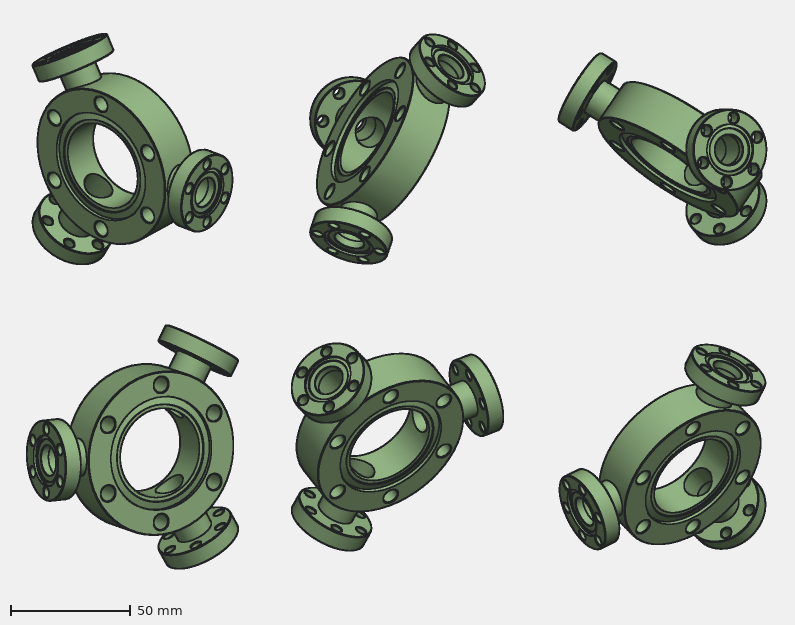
import cadquery as cq
import math

RING_RADIUS = 34.9
RING_WIDTH = 19.0
RING_BORE_RADIUS = 19.0
RING_SEAT_RADIUS = 24.2
RING_KNIFE_RADIUS = 20.9
RING_BOLT_CIRCLE_RADIUS = 29.3
RING_BOLT_DIAMETER = 6.7
RING_FIRST_BOLT_ANGLE = 30

FLANGE_DIAMETER = 34.0
FLANGE_THICKNESS = 7.5
FLANGE_FACE_DISTANCE = 50.0
FLANGE_SEAT_RADIUS = 10.7
FLANGE_KNIFE_RADIUS = 9.2
FLANGE_MOUTH_CHAMFER = 0.2
FLANGE_BOLT_CIRCLE_RADIUS = 13.5
FLANGE_BOLT_DIAMETER = 4.4
FLANGE_FIRST_BOLT_ANGLE = 0

TUBE_OUTER_RADIUS = 8.0
TUBE_BORE_RADIUS = 6.4
TUBE_INNER_END = 32.0
TUBE_OUTER_END = 45.2

PORT_COUNT = 3
BOLT_COUNT = 6
EDGE_CHAMFER = 0.3
KNIFE_CREST_DEPTH = 0.6
KNIFE_BASE_DEPTH = 1.1
KNIFE_BACK_RUN = 0.2
KNIFE_SLOPE = 20


def seal_outline(face, seat_radius, knife_radius, bore_radius):
    """Gasket seat outline as (radius, height) points, from the face in to the bore."""
    crest = face - KNIFE_CREST_DEPTH
    seat_floor = crest - (seat_radius - knife_radius) * math.tan(math.radians(KNIFE_SLOPE))
    base = face - KNIFE_BASE_DEPTH
    return [
        (seat_radius, face),
        (seat_radius, seat_floor),
        (knife_radius, crest),
        (knife_radius - KNIFE_BACK_RUN, base),
        (bore_radius, base),
    ]


def bolt_holes(circle_radius, diameter, first_angle, back, front):
    """Cutters for one bolt circle along Z, flared at both faces to chamfer the hole mouths."""
    radius = diameter / 2
    mouth = radius + EDGE_CHAMFER
    half_section = [
        (0, back),
        (mouth, back),
        (radius, back + EDGE_CHAMFER),
        (radius, front - EDGE_CHAMFER),
        (mouth, front),
        (0, front),
    ]
    hole = cq.Workplane("XZ").polyline(half_section).close().revolve(360, (0, 0), (0, 1)).val()
    return (
        cq.Workplane("XY")
        .polarArray(circle_radius, first_angle, 360, BOLT_COUNT)
        .eachpoint(lambda spot: hole.moved(spot))
    )


def place_at_port(body, angle):
    """Turn a body built along Z so that its axis is the port axis at this angle in the XZ plane."""
    return body.rotate((0, 0, 0), (0, 1, 0), 90 - angle)


def make_tube():
    """Plain tube along Z, seated in the ring at one end and in the flange at the other."""
    length = TUBE_OUTER_END - TUBE_INNER_END
    return (
        cq.Workplane("XY", origin=(0, 0, TUBE_INNER_END))
        .circle(TUBE_OUTER_RADIUS)
        .circle(TUBE_BORE_RADIUS)
        .extrude(length)
    )


def make_flange():
    """Port flange along Z, with a socket for the tube in its back and a gasket seat in its face."""
    face = FLANGE_FACE_DISTANCE
    back = face - FLANGE_THICKNESS
    rim_radius = FLANGE_DIAMETER / 2
    mouth_radius = TUBE_BORE_RADIUS + FLANGE_MOUTH_CHAMFER
    outline = [
        (TUBE_OUTER_RADIUS, TUBE_OUTER_END),
        (TUBE_OUTER_RADIUS, back),
        (rim_radius - EDGE_CHAMFER, back),
        (rim_radius, back + EDGE_CHAMFER),
        (rim_radius, face - EDGE_CHAMFER),
        (rim_radius - EDGE_CHAMFER, face),
        *seal_outline(face, FLANGE_SEAT_RADIUS, FLANGE_KNIFE_RADIUS, mouth_radius),
        (TUBE_BORE_RADIUS, face - KNIFE_BASE_DEPTH - FLANGE_MOUTH_CHAMFER),
        (TUBE_BORE_RADIUS, TUBE_OUTER_END),
    ]
    disc = cq.Workplane("XZ").polyline(outline).close().revolve(360, (0, 0), (0, 1))
    holes = bolt_holes(
        FLANGE_BOLT_CIRCLE_RADIUS, FLANGE_BOLT_DIAMETER, FLANGE_FIRST_BOLT_ANGLE, back, face
    )
    return disc.cut(holes)


def make_port_bore():
    """Cutter for one port in the ring: a passage with a socket for the tube end."""
    passage = cq.Workplane("XY").circle(TUBE_BORE_RADIUS).extrude(RING_RADIUS)
    socket = (
        cq.Workplane("XY", origin=(0, 0, TUBE_INNER_END))
        .circle(TUBE_OUTER_RADIUS)
        .extrude(RING_RADIUS - TUBE_INNER_END)
    )
    return passage.union(socket)


def make_ring(angles):
    """Double-sided ring flange about Y, with a gasket seat in each face and radial port bores."""
    face = RING_WIDTH / 2
    half_outline = [
        (RING_RADIUS, face - EDGE_CHAMFER),
        (RING_RADIUS - EDGE_CHAMFER, face),
        *seal_outline(face, RING_SEAT_RADIUS, RING_KNIFE_RADIUS, RING_BORE_RADIUS),
    ]
    mirrored_outline = [(radius, -height) for radius, height in reversed(half_outline)]
    ring = (
        cq.Workplane("XY")
        .polyline(half_outline + mirrored_outline)
        .close()
        .revolve(360, (0, 0), (0, 1))
    )
    holes = bolt_holes(
        RING_BOLT_CIRCLE_RADIUS, RING_BOLT_DIAMETER, RING_FIRST_BOLT_ANGLE, -face, face
    )
    ring = ring.cut(holes.rotate((0, 0, 0), (1, 0, 0), 90))
    for angle in angles:
        ring = ring.cut(place_at_port(make_port_bore(), angle))
    return ring


port_angles = [port * 360 / PORT_COUNT for port in range(PORT_COUNT)]
main_ring = make_ring(port_angles)
tubes = [place_at_port(make_tube(), angle) for angle in port_angles]
flanges = [place_at_port(make_flange(), angle) for angle in port_angles]

bodies = [main_ring, *tubes, *flanges]
result = cq.Compound.makeCompound([body.solids().val() for body in bodies])